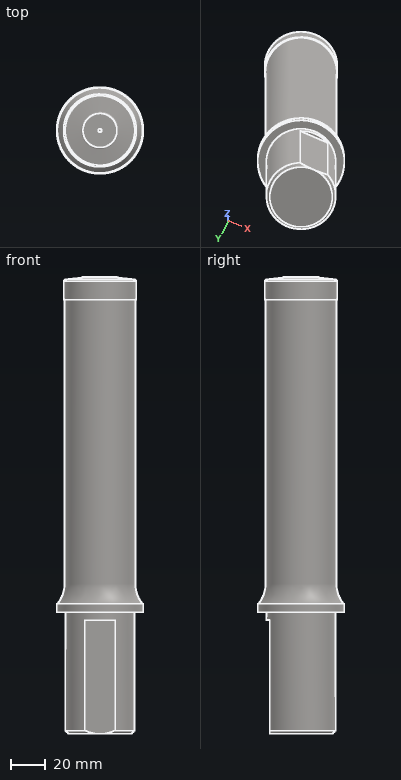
import cadquery as cq

shank_radius = 20.0
shank_height = 70.0
shank_chamfer_height = 2.0
shank_chamfer_width = 2.0
flange_radius = 25.0
flange_height = 5.0
flare_foot_radius = 24.5
flare_height = 11.0
shaft_radius = 20.5

flat_distance = 18.0
flat_height = 65.5

total_height = 263.0
cap_radius = 21.0
cap_height = 13.0
rim_chamfer = 1.0

crown_height = 1.0
disc_foot_radius = 10.8
disc_top_radius = 9.8
disc_height = 0.4

centre_hole_radius = 1.0
centre_hole_depth = 1.0

flange_top_z = shank_height + flange_height
flare_top_z = flange_top_z + flare_height
cap_bottom_z = total_height - cap_height


def revolve_about_z(profile):
    return profile.close().revolve(360, (0, 0), (0, 1))


def make_flat_cut():
    """Block that removes everything in front of the shank flat."""
    block_depth = shank_radius
    block = cq.Workplane("XY").box(
        2 * shank_radius, block_depth, flat_height, centered=(True, False, False)
    )
    return block.translate((0, -flat_distance - block_depth, 0))


def make_post():
    flare_width = flare_foot_radius - shaft_radius
    flare_arc_radius = (flare_width**2 + flare_height**2) / (2 * flare_width)
    profile = (
        cq.Workplane("XZ")
        .lineTo(shank_radius - shank_chamfer_width, 0)
        .lineTo(shank_radius, shank_chamfer_height)
        .lineTo(shank_radius, shank_height)
        .lineTo(flange_radius, shank_height)
        .lineTo(flange_radius, flange_top_z)
        .lineTo(flare_foot_radius, flange_top_z)
        .radiusArc((shaft_radius, flare_top_z), flare_arc_radius)
        .lineTo(shaft_radius, cap_bottom_z)
        .lineTo(0, cap_bottom_z)
    )
    return revolve_about_z(profile).cut(make_flat_cut())


def make_cap():
    disc_foot_z = total_height - disc_height
    rim_z = disc_foot_z - crown_height
    profile = (
        cq.Workplane("XZ")
        .moveTo(0, cap_bottom_z)
        .lineTo(cap_radius, cap_bottom_z)
        .lineTo(cap_radius, rim_z - rim_chamfer)
        .lineTo(cap_radius - rim_chamfer, rim_z)
        .lineTo(disc_foot_radius, disc_foot_z)
        .lineTo(disc_top_radius, total_height)
        .lineTo(0, total_height)
    )
    centre_hole = (
        cq.Workplane("XY", origin=(0, 0, total_height))
        .circle(centre_hole_radius)
        .extrude(-centre_hole_depth)
    )
    return revolve_about_z(profile).cut(centre_hole)


post = make_post()
cap = make_cap()
result = cq.Compound.makeCompound([post.val(), cap.val()])